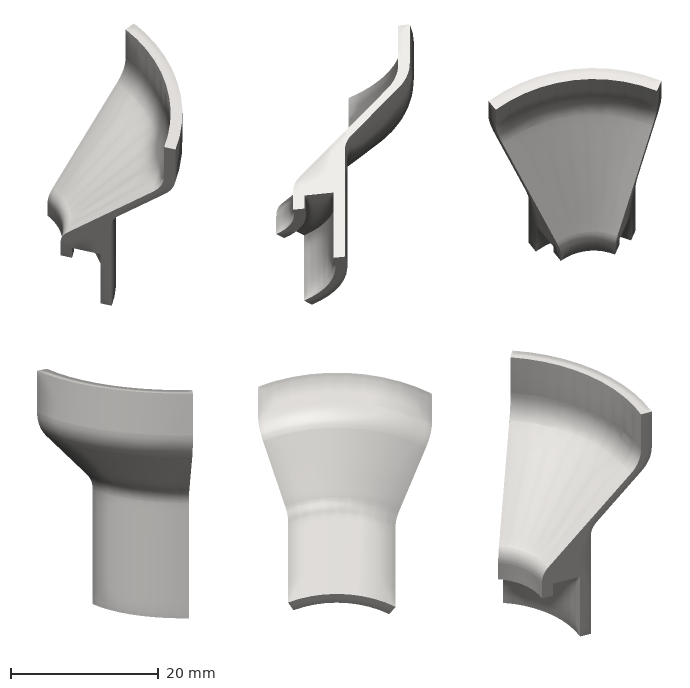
import cadquery as cq
import math

SECTOR_ANGLE = 60.0

TOTAL_HEIGHT = 34.6
THROAT_BOTTOM = 8.0
RECESS_TOP = 10.0
CONE_BOTTOM = 12.0

THROAT_RADIUS = 7.4
LIP_RADIUS = 9.0
RECESS_RADIUS = 13.0
RIM_INNER_RADIUS = 22.0
WALL = 1.6
SKIRT_OUTER_RADIUS = RECESS_RADIUS + WALL
RIM_OUTER_RADIUS = RIM_INNER_RADIUS + WALL

CONE_ANGLE = math.radians(45)
HALF_ANGLE = CONE_ANGLE / 2
CONE_TOP = CONE_BOTTOM + RIM_INNER_RADIUS - THROAT_RADIUS

OUTER_CONE_BOTTOM = CONE_TOP - (RIM_OUTER_RADIUS - SKIRT_OUTER_RADIUS)

THROAT_BEND = 3.0
SKIRT_BEND = 3.0
RIM_BEND = 5.0

BELOW_CONE = 1
ABOVE_CONE = -1


def bend_points(corner_radius, corner_height, bend_radius, side):
    """Start, middle and end of the arc that rounds a corner between a vertical wall and the cone.

    The arc starts on the vertical wall, which lies below or above the cone, and ends on the cone.
    """
    setback = bend_radius * math.tan(HALF_ANGLE)
    start = (corner_radius, corner_height - side * setback)
    center = (corner_radius + side * bend_radius, start[1])
    middle = (
        center[0] - side * bend_radius * math.cos(HALF_ANGLE),
        center[1] + side * bend_radius * math.sin(HALF_ANGLE),
    )
    end = (
        corner_radius + side * setback * math.sin(CONE_ANGLE),
        corner_height + side * setback * math.cos(CONE_ANGLE),
    )
    return start, middle, end


def wall_section():
    """Closed section of the wall in the XZ plane, as (radius, height) points."""
    skirt_start, skirt_middle, skirt_end = bend_points(
        SKIRT_OUTER_RADIUS, OUTER_CONE_BOTTOM, SKIRT_BEND, BELOW_CONE
    )
    outer_start, outer_middle, outer_end = bend_points(
        RIM_OUTER_RADIUS, CONE_TOP, RIM_BEND, ABOVE_CONE
    )
    inner_start, inner_middle, inner_end = bend_points(
        RIM_INNER_RADIUS, CONE_TOP, RIM_BEND, ABOVE_CONE
    )
    throat_start, throat_middle, throat_end = bend_points(
        THROAT_RADIUS, CONE_BOTTOM, THROAT_BEND, BELOW_CONE
    )
    return (
        cq.Workplane("XZ")
        .moveTo(RECESS_RADIUS, 0)
        .lineTo(SKIRT_OUTER_RADIUS, 0)
        .lineTo(*skirt_start)
        .threePointArc(skirt_middle, skirt_end)
        .lineTo(*outer_end)
        .threePointArc(outer_middle, outer_start)
        .lineTo(RIM_OUTER_RADIUS, TOTAL_HEIGHT)
        .lineTo(RIM_INNER_RADIUS, TOTAL_HEIGHT)
        .lineTo(*inner_start)
        .threePointArc(inner_middle, inner_end)
        .lineTo(*throat_end)
        .threePointArc(throat_middle, throat_start)
        .lineTo(THROAT_RADIUS, THROAT_BOTTOM)
        .lineTo(LIP_RADIUS, THROAT_BOTTOM)
        .lineTo(LIP_RADIUS, RECESS_TOP)
        .lineTo(RECESS_RADIUS, RECESS_TOP)
        .close()
    )


AXIS_START = (0, 0)
AXIS_END = (0, 1)
result = wall_section().revolve(SECTOR_ANGLE, AXIS_START, AXIS_END)